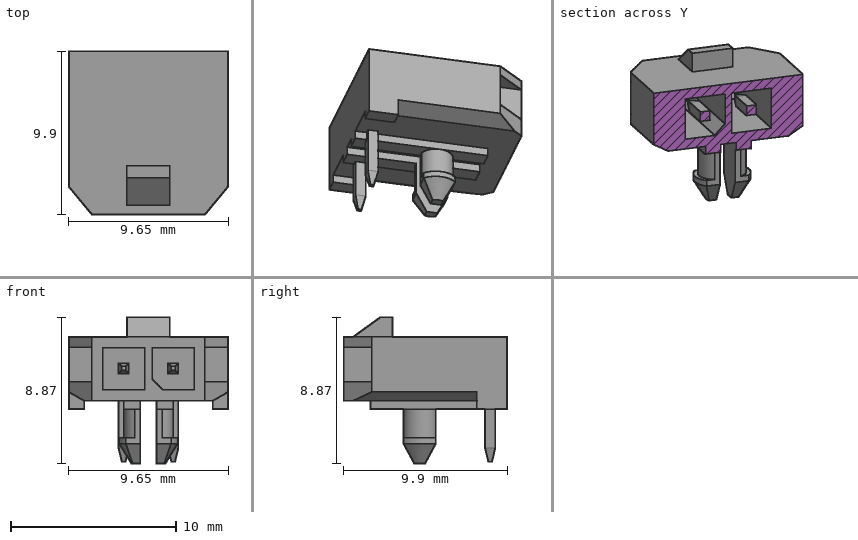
import cadquery as cq


WIDTH = 9.65
DEPTH = 9.9
TOP_Z = 4.37
STANDOFF = 0.5
FACE_WIDTH = 6.84
CORNER_DEPTH = 1.69
CORNER_POCKET_Z = (1.66, 3.75)
FOOT_WIDTH = 0.94
FOOT_FRONT_Y = 8.07
BEVEL_HEIGHT = 0.54

PITCH = 3.0
CAVITY_SIZE = 2.55
CAVITY_DEPTH = 7.5
CAVITY_Z = 2.435
KEY_CHAMFER = 0.66
PIN_SIZE = 0.64
PIN_POINT_SIZE = 0.23
PIN_POINT_LENGTH = 0.86
PIN_FRONT_Y = 3.0
MATING_PIN_Z = 2.47
TAIL_Y = 8.87
TAIL_LENGTH = 3.19

LATCH_WIDTH = 2.6
LATCH_HEIGHT = 1.2
LATCH_BACK_Y = 2.97
LATCH_CREST_Y = 2.22
LATCH_TOE_Y = 0.56

SLOT_HALF_WIDTH = 0.484
RAIL_OUTER_X = 1.49
RAIL_FRONT_Y = 1.61
PEG_Y = 4.6
PEG_WIDTH = 1.96
SHAFT_LENGTH = 1.73
SHAFT_FLAT_X = 0.83
BARB_LENGTH = 0.36
BARB_FLAT_X = 1.37
BARB_OUTER_X = 1.77
PEG_LENGTH = 3.3
TIP_WIDTH = 0.66
TIP_FLAT_X = 0.955
TIP_OUTER_X = 1.03

HALF_WIDTH = WIDTH / 2
HALF_FACE = FACE_WIDTH / 2
FOOT_INNER_X = HALF_WIDTH - FOOT_WIDTH
SIDES = (-1, 1)


def box(x_range, y_range, z_range):
    """Axis-aligned block; the two limits of a range may come in either order."""
    limits = [sorted(limit) for limit in (x_range, y_range, z_range)]
    sizes = [high - low for low, high in limits]
    corner = [low for low, high in limits]
    return cq.Workplane("XY").box(*sizes, centered=False).translate(tuple(corner))


def housing_shell():
    """Body with cut front corners, corner pockets and bevelled lower side edges."""
    outline = [
        (-HALF_FACE, 0),
        (HALF_FACE, 0),
        (HALF_WIDTH, CORNER_DEPTH),
        (HALF_WIDTH, DEPTH),
        (-HALF_WIDTH, DEPTH),
        (-HALF_WIDTH, CORNER_DEPTH),
    ]
    underside = cq.Workplane("XY", origin=(0, 0, STANDOFF))
    shell = underside.polyline(outline).close().extrude(TOP_Z - STANDOFF)
    for side in SIDES:
        pocket = box((side * HALF_FACE, side * HALF_WIDTH), (0, CORNER_DEPTH), CORNER_POCKET_Z)
        bevel_profile = [
            (side * FOOT_INNER_X, STANDOFF),
            (side * HALF_WIDTH, STANDOFF),
            (side * HALF_WIDTH, STANDOFF + BEVEL_HEIGHT),
        ]
        bevel = cq.Workplane("XZ").polyline(bevel_profile).close().extrude(-FOOT_FRONT_Y)
        shell = shell.cut(pocket).cut(bevel)
    return shell


def foot(side):
    """Rear foot that stands on the board."""
    return box((side * FOOT_INNER_X, side * HALF_WIDTH), (FOOT_FRONT_Y, DEPTH), (0, STANDOFF))


def rail(side):
    """Underside rail that carries one peg half and one contact tail."""
    return box((side * SLOT_HALF_WIDTH, side * RAIL_OUTER_X), (RAIL_FRONT_Y, DEPTH), (0, STANDOFF))


def latch():
    """Ramp on top that the mating connector snaps over."""
    profile = [
        (LATCH_TOE_Y, TOP_Z),
        (LATCH_CREST_Y, TOP_Z + LATCH_HEIGHT),
        (LATCH_BACK_Y, TOP_Z + LATCH_HEIGHT),
        (LATCH_BACK_Y, TOP_Z),
    ]
    return cq.Workplane("YZ").polyline(profile).close().extrude(LATCH_WIDTH / 2, both=True)


def cavity(side):
    """Contact cavity; the +X one has a chamfered keying corner."""
    center_x = side * PITCH / 2
    half = CAVITY_SIZE / 2
    opening = box(
        (center_x - half, center_x + half),
        (0, CAVITY_DEPTH),
        (CAVITY_Z - half, CAVITY_Z + half),
    )
    if side > 0:
        opening = opening.edges("|Y and <X and <Z").chamfer(KEY_CHAMFER)
    return opening


def pointed_pin(plane, length):
    """Square pin along the plane normal, tapering to a blunt point at its far end."""
    shank_length = length - PIN_POINT_LENGTH
    shank = cq.Workplane(plane).rect(PIN_SIZE, PIN_SIZE).extrude(shank_length)
    point = (
        cq.Workplane(plane)
        .workplane(offset=shank_length)
        .rect(PIN_SIZE, PIN_SIZE)
        .workplane(offset=PIN_POINT_LENGTH)
        .rect(PIN_POINT_SIZE, PIN_POINT_SIZE)
        .loft(ruled=True)
    )
    return shank.union(point)


def contact(side):
    """Mating pin in the cavity and solder tail below the housing."""
    x = side * PITCH / 2
    mating_plane = cq.Plane((x, CAVITY_DEPTH, MATING_PIN_Z), (1, 0, 0), (0, -1, 0))
    tail_plane = cq.Plane((x, TAIL_Y, STANDOFF), (1, 0, 0), (0, 0, -1))
    mating_pin = pointed_pin(mating_plane, CAVITY_DEPTH - PIN_FRONT_Y)
    tail = pointed_pin(tail_plane, STANDOFF + TAIL_LENGTH)
    return mating_pin, tail


def peg_section(base, side, flat_x, outer_x, width):
    """Half-peg outline: flat slot side, two flat flanks and a rounded outer side."""
    front_y = PEG_Y - width / 2
    back_y = PEG_Y + width / 2
    return (
        base.moveTo(side * SLOT_HALF_WIDTH, front_y)
        .lineTo(side * flat_x, front_y)
        .threePointArc((side * outer_x, PEG_Y), (side * flat_x, back_y))
        .lineTo(side * SLOT_HALF_WIDTH, back_y)
        .close()
    )


def peg_half(side):
    """Shaft, snap barb and tapered lead-in of one half of the split peg."""
    barb_top = cq.Workplane("XY", origin=(0, 0, -SHAFT_LENGTH))
    barb_bottom = barb_top.workplane(offset=-BARB_LENGTH)
    taper_length = PEG_LENGTH - SHAFT_LENGTH - BARB_LENGTH

    shaft = peg_section(barb_top, side, SHAFT_FLAT_X, RAIL_OUTER_X, PEG_WIDTH).extrude(SHAFT_LENGTH)
    barb = peg_section(barb_bottom, side, BARB_FLAT_X, BARB_OUTER_X, PEG_WIDTH).extrude(BARB_LENGTH)
    taper_top = peg_section(barb_bottom, side, BARB_FLAT_X, BARB_OUTER_X, PEG_WIDTH)
    tip_plane = taper_top.workplane(offset=-taper_length, origin=(0, 0))
    tip_outline = peg_section(tip_plane, side, TIP_FLAT_X, TIP_OUTER_X, TIP_WIDTH)
    taper = tip_outline.loft(ruled=True)
    return shaft.union(barb).union(taper)


result = housing_shell().union(latch())
for side in SIDES:
    mating_pin, tail = contact(side)
    result = result.cut(cavity(side)).union(mating_pin)
    result = result.union(foot(side)).union(rail(side)).union(tail).union(peg_half(side))